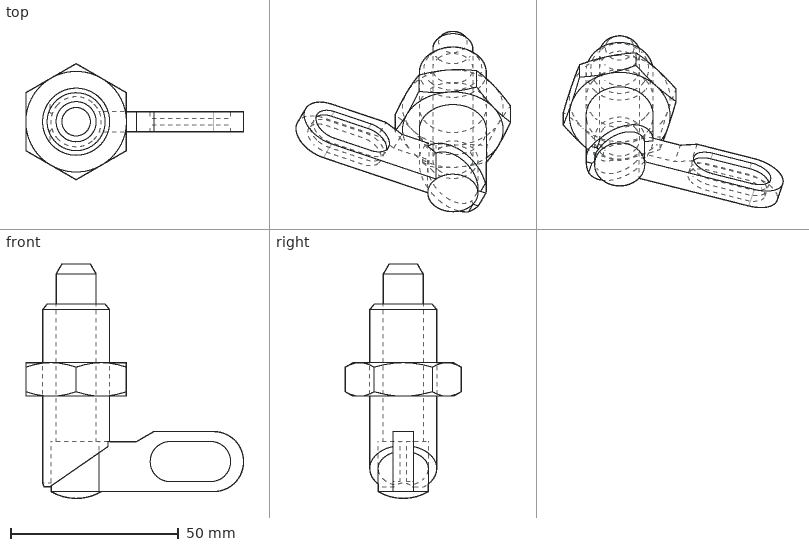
import cadquery as cq
import math

TOTAL_HEIGHT = 70.0
DOME_HEIGHT = 2.0
SLEEVE_BOTTOM = 3.5
SLEEVE_TOP = 58.0

SLEEVE_RADIUS = 20.0 / 2
SLEEVE_TOP_RADIUS = 17.3 / 2
SLEEVE_CHAMFER_HEIGHT = 1.7
CAM_START_X = -7.85
CAM_ANGLE = 34.7
NOTCH_RADIUS = 8.0 / 2
NOTCH_DEPTH = 1.1

NUT_WIDTH = 30.0
NUT_HEIGHT = 10.0
NUT_BOTTOM = 30.5
NUT_CHAMFER_ANGLE = 30

PIN_RADIUS = 12.0 / 2
PIN_CHAMFER_HEIGHT = 3.0
PIN_CHAMFER_ANGLE = 30
HUB_RADIUS = 15.0 / 2
LEVER_THICKNESS = 6.0
LEVER_HEIGHT = 18.0
LEVER_REACH = 50.0
LEVER_STEP = 3.0
RAMP_START_X = 18.0
RAMP_ANGLE = 30
RECESS_LENGTH = 24.0
RECESS_HEIGHT = 12.0
RECESS_CENTER_X = 34.1
RECESS_DEPTH = 2.0

LEVER_BOTTOM = DOME_HEIGHT
LEVER_TOP = LEVER_BOTTOM + LEVER_HEIGHT
LEVER_MIDDLE = LEVER_BOTTOM + LEVER_HEIGHT / 2
NECK_TOP = LEVER_TOP - LEVER_STEP


def tan_degrees(angle):
    return math.tan(math.radians(angle))


def cylinder(radius, bottom, top):
    return cq.Workplane("XY").workplane(offset=bottom).circle(radius).extrude(top - bottom)


def make_pin():
    """Round pin with a conical lead-in, rising from the hub."""
    tip_radius = PIN_RADIUS - PIN_CHAMFER_HEIGHT * tan_degrees(PIN_CHAMFER_ANGLE)
    return (
        cq.Workplane("XZ")
        .moveTo(0, NECK_TOP)
        .lineTo(PIN_RADIUS, NECK_TOP)
        .lineTo(PIN_RADIUS, TOTAL_HEIGHT - PIN_CHAMFER_HEIGHT)
        .lineTo(tip_radius, TOTAL_HEIGHT)
        .lineTo(0, TOTAL_HEIGHT)
        .close()
        .revolve(360, (0, 0, 0), (0, 1, 0))
    )


def make_hub():
    """Round hub closed at the bottom by a shallow spherical dome."""
    dome_radius = (HUB_RADIUS**2 + DOME_HEIGHT**2) / (2 * DOME_HEIGHT)
    arc_x = HUB_RADIUS / 2
    arc_z = dome_radius - math.sqrt(dome_radius**2 - arc_x**2)
    return (
        cq.Workplane("XZ")
        .moveTo(0, 0)
        .threePointArc((arc_x, arc_z), (HUB_RADIUS, DOME_HEIGHT))
        .lineTo(HUB_RADIUS, NECK_TOP)
        .lineTo(0, NECK_TOP)
        .close()
        .revolve(360, (0, 0, 0), (0, 1, 0))
    )


def make_lever():
    """Flat lever with a stepped-up round end and a slotted recess in each face."""
    end_radius = LEVER_HEIGHT / 2
    end_x = LEVER_REACH - end_radius
    ramp_end_x = RAMP_START_X + LEVER_STEP / tan_degrees(RAMP_ANGLE)
    lever = (
        cq.Workplane("XZ")
        .moveTo(0, LEVER_BOTTOM)
        .lineTo(end_x, LEVER_BOTTOM)
        .threePointArc((LEVER_REACH, LEVER_MIDDLE), (end_x, LEVER_TOP))
        .lineTo(ramp_end_x, LEVER_TOP)
        .lineTo(RAMP_START_X, NECK_TOP)
        .lineTo(0, NECK_TOP)
        .close()
        .extrude(LEVER_THICKNESS / 2, both=True)
    )
    recess = (
        cq.Workplane("XZ", origin=(0, -LEVER_THICKNESS / 2, 0))
        .center(RECESS_CENTER_X, LEVER_MIDDLE)
        .slot2D(RECESS_LENGTH, RECESS_HEIGHT)
        .extrude(-RECESS_DEPTH)
    )
    return lever.cut(recess).cut(recess.mirror("XZ"))


def make_plunger():
    return make_pin().union(make_hub()).union(make_lever())


def make_sleeve_blank():
    """Round sleeve chamfered at the top."""
    return (
        cq.Workplane("XZ")
        .moveTo(0, SLEEVE_BOTTOM)
        .lineTo(SLEEVE_RADIUS, SLEEVE_BOTTOM)
        .lineTo(SLEEVE_RADIUS, SLEEVE_TOP - SLEEVE_CHAMFER_HEIGHT)
        .lineTo(SLEEVE_TOP_RADIUS, SLEEVE_TOP)
        .lineTo(0, SLEEVE_TOP)
        .close()
        .revolve(360, (0, 0, 0), (0, 1, 0))
    )


def make_cam_cut():
    """Wedge below the sloping cam face at the bottom of the sleeve."""
    cam_length = SLEEVE_RADIUS - CAM_START_X
    cam_rise = cam_length * tan_degrees(CAM_ANGLE)
    return (
        cq.Workplane("XZ")
        .moveTo(CAM_START_X, SLEEVE_BOTTOM)
        .lineTo(SLEEVE_RADIUS, SLEEVE_BOTTOM)
        .lineTo(SLEEVE_RADIUS, SLEEVE_BOTTOM + cam_rise)
        .close()
        .extrude(SLEEVE_RADIUS, both=True)
    )


def make_notch():
    """Round-bottomed detent across the low side of the cam."""
    notch_z = SLEEVE_BOTTOM + NOTCH_DEPTH - NOTCH_RADIUS
    return cq.Workplane("YZ").center(0, notch_z).circle(NOTCH_RADIUS).extrude(-SLEEVE_RADIUS)


def make_lever_slot():
    """Open slot that holds the lever against the +X wall of the sleeve."""
    slot_height = NECK_TOP - SLEEVE_BOTTOM
    return cq.Workplane("XY").workplane(offset=SLEEVE_BOTTOM).box(
        SLEEVE_RADIUS, LEVER_THICKNESS, slot_height, centered=(False, True, False)
    )


def make_sleeve():
    hub_bore = cylinder(HUB_RADIUS, SLEEVE_BOTTOM, NECK_TOP)
    pin_bore = cylinder(PIN_RADIUS, NECK_TOP, SLEEVE_TOP)
    sleeve = make_sleeve_blank().cut(hub_bore).cut(pin_bore)
    return sleeve.cut(make_lever_slot()).cut(make_cam_cut()).cut(make_notch())


def make_nut():
    """Hexagon with corners on the Y axis, its corners turned off at both ends."""
    corner_radius = NUT_WIDTH / 2 / math.cos(math.pi / 6)
    face_radius = NUT_WIDTH / 2
    corner_drop = (corner_radius - face_radius) * tan_degrees(NUT_CHAMFER_ANGLE)
    nut_top = NUT_BOTTOM + NUT_HEIGHT
    hexagon = (
        cq.Workplane("XY")
        .workplane(offset=NUT_BOTTOM)
        .transformed(rotate=(0, 0, 90))
        .polygon(6, 2 * corner_radius)
        .extrude(NUT_HEIGHT)
    )
    turned_profile = (
        cq.Workplane("XZ")
        .moveTo(0, NUT_BOTTOM)
        .lineTo(face_radius, NUT_BOTTOM)
        .lineTo(corner_radius, NUT_BOTTOM + corner_drop)
        .lineTo(corner_radius, nut_top - corner_drop)
        .lineTo(face_radius, nut_top)
        .lineTo(0, nut_top)
        .close()
        .revolve(360, (0, 0, 0), (0, 1, 0))
    )
    return hexagon.intersect(turned_profile).cut(cylinder(SLEEVE_RADIUS, NUT_BOTTOM, nut_top))


plunger = make_plunger()
sleeve = make_sleeve()
nut = make_nut()

result = cq.Compound.makeCompound([plunger.val(), sleeve.val(), nut.val()])